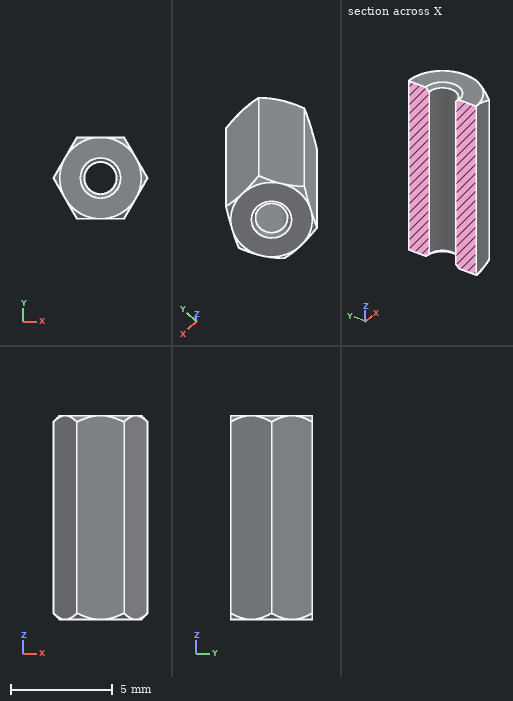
import cadquery as cq
import math

length = 10.0
across_flats = 4.0
bore_diameter = 1.57
bore_chamfer = 0.2

across_corners = across_flats / math.cos(math.radians(30))
corner_radius = across_corners / 2
end_face_radius = across_flats / 2
corner_chamfer = corner_radius - end_face_radius


def hex_bar():
    """Hexagonal bar with two corners on the X axis, standing on Z = 0."""
    return cq.Workplane("XY").polygon(6, across_corners).extrude(length)


def chamfered_envelope():
    """Round bar through the hexagon corners, chamfered at both ends."""
    return (
        cq.Workplane("XY")
        .circle(corner_radius)
        .extrude(length)
        .faces("<Z or >Z")
        .chamfer(corner_chamfer)
    )


def chamfered_bore():
    """Through bore, widened by a 45 degree chamfer at each end."""
    bore_radius = bore_diameter / 2
    mouth_radius = bore_radius + bore_chamfer
    profile = [
        (0, 0),
        (mouth_radius, 0),
        (bore_radius, bore_chamfer),
        (bore_radius, length - bore_chamfer),
        (mouth_radius, length),
        (0, length),
    ]
    return cq.Workplane("XZ").polyline(profile).close().revolve(360, (0, 0), (0, 1))


result = hex_bar().intersect(chamfered_envelope()).cut(chamfered_bore())